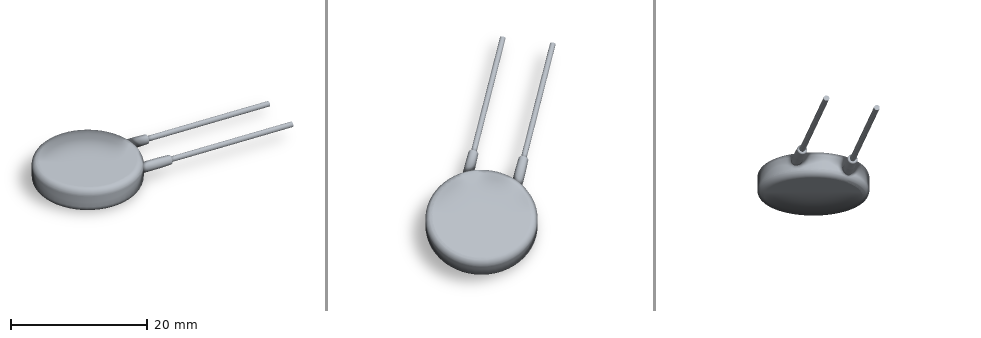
import cadquery as cq

disc_diameter = 16.5
disc_thickness = 3.9
disc_edge_radius = 1.0

total_length = 40.0
lead_spacing = 7.5
lead_height_offset = 0.5
lead_diameter = 0.85
lead_end = total_length - disc_diameter / 2

sleeve_diameter = 1.6
sleeve_tip_diameter = 1.5
sleeve_taper_start = 9.5
sleeve_end = 11.75
sleeve_tip_round = 0.2
sleeve_root = 4.8


def make_disc():
    disc = cq.Workplane("XY").circle(disc_diameter / 2).extrude(disc_thickness / 2, both=True)
    return disc.edges("%CIRCLE").fillet(disc_edge_radius)


def make_lead(x, z):
    """Wire and tapered sleeve, revolved about an axis parallel to Y."""
    sleeve_radius = sleeve_diameter / 2
    tip_radius = sleeve_tip_diameter / 2
    wire_radius = lead_diameter / 2
    profile = (
        cq.Workplane("XY")
        .moveTo(0, sleeve_root)
        .lineTo(sleeve_radius, sleeve_root)
        .lineTo(sleeve_radius, sleeve_taper_start)
        .lineTo(tip_radius, sleeve_end - sleeve_tip_round)
        .radiusArc((tip_radius - sleeve_tip_round, sleeve_end), -sleeve_tip_round)
        .lineTo(wire_radius, sleeve_end)
        .lineTo(wire_radius, lead_end)
        .lineTo(0, lead_end)
        .close()
    )
    return profile.revolve(360, (0, 0, 0), (0, 1, 0)).translate((x, 0, z))


result = make_disc()
for side in (-1, 1):
    result = result.union(make_lead(side * lead_spacing / 2, side * lead_height_offset))